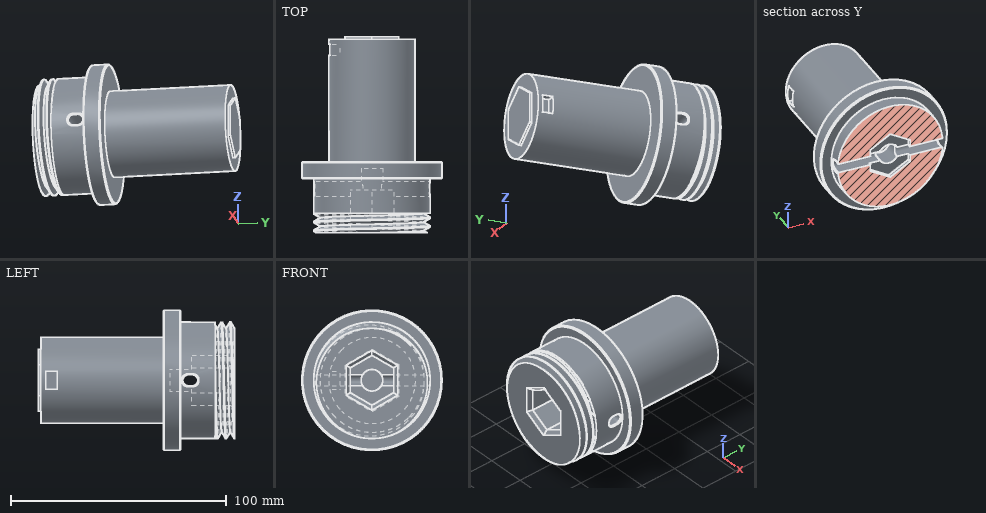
import cadquery as cq
import math


flange_dia = 65.0
flange_front = 25.0
flange_thickness = 8.0
flange_chamfer = 0.5
shoulder_dia = 54.0
shaft_dia = 40.04
shaft_end = 89.7
overall_length = 90.85

rear_hex_flats = 25.0

thread_length = 9.0
thread_pitch = 4.0
thread_crest_dia = shoulder_dia
thread_foot_dia = 48.2
thread_root_dia = 48.1
thread_crest_width = 0.5
thread_flank_angle = 30.0
thread_embed = 0.5
thread_crest_at_plus_x = 3.0
thread_lead_in_turns = 2
thread_turns = 5

socket_flats = 20.0
socket_depth = 20.0
socket_chamfer = 2.0

bore_dia = 10.0
bore_end = 30.0

slot_width = 5.0
slot_length = 7.0
slot_centre = 20.5
slot_chamfer = 0.5

pocket_front = 82.2
pocket_length = 5.2
pocket_height = 8.4
pocket_floor_radius = 15.0


def disc(diameter, start, end):
    """Cylinder on the Y axis from Y = start to Y = end."""
    plane = cq.Workplane("XZ", origin=(0, start, 0))
    return plane.circle(diameter / 2).extrude(start - end)


def hexagon(flats, y):
    """Hexagon outline at the given Y, with two corners on the Z axis."""
    corner_radius = flats / math.sqrt(3)
    corners = []
    for i in range(6):
        angle = math.pi / 2 + i * math.pi / 3
        corners.append((corner_radius * math.cos(angle), corner_radius * math.sin(angle)))
    return cq.Workplane("XZ", origin=(0, y, 0)).polyline(corners).close()


def hex_prism(flats, start, end):
    """Hexagonal prism on the Y axis from Y = start to Y = end."""
    return hexagon(flats, start).extrude(start - end)


def make_body():
    """Flange, shoulder, shaft and rear hexagon, without the thread."""
    flange_back = flange_front + flange_thickness
    flange = disc(flange_dia, flange_front, flange_back).edges().chamfer(flange_chamfer)
    shaft = disc(shaft_dia, flange_back, shaft_end)
    rear_hex = hex_prism(rear_hex_flats, shaft_end, overall_length)
    return flange.union(make_shoulder()).union(shaft).union(rear_hex)


def make_thread():
    """Thread core with a helical ridge, trimmed to the thread length."""
    foot_radius = thread_foot_dia / 2
    crest_radius = thread_crest_dia / 2
    base_radius = foot_radius - thread_embed
    half_crest = thread_crest_width / 2
    flank_run = (crest_radius - foot_radius) * math.tan(math.radians(thread_flank_angle))
    half_foot = half_crest + flank_run
    start = thread_crest_at_plus_x - thread_lead_in_turns * thread_pitch

    helix = cq.Wire.makeHelix(thread_pitch, thread_turns * thread_pitch, foot_radius)
    ridge = (
        cq.Workplane("XZ")
        .polyline([
            (base_radius, -half_foot),
            (foot_radius, -half_foot),
            (crest_radius, -half_crest),
            (crest_radius, half_crest),
            (foot_radius, half_foot),
            (base_radius, half_foot),
        ])
        .close()
        .sweep(cq.Workplane(obj=helix), isFrenet=True)
        .rotate((0, 0, 0), (1, 0, 0), -90)
        .translate((0, start, 0))
    )
    trimmed_ridge = ridge.intersect(disc(flange_dia, 0, thread_length))
    return disc(thread_root_dia, 0, thread_length).union(trimmed_ridge)


def make_socket():
    """Hexagonal socket with a mouth bevelled at 45 degrees."""
    front_wire = hexagon(socket_flats + 2 * socket_chamfer, 0).val()
    inner_wire = hexagon(socket_flats, socket_chamfer).val()
    mouth = cq.Workplane(obj=cq.Solid.makeLoft([front_wire, inner_wire], True))
    return hex_prism(socket_flats, 0, socket_depth).union(mouth)


def make_slot():
    """Slot along X, passing right through the shoulder."""
    plane = cq.Workplane("YZ", origin=(-shoulder_dia / 2, slot_centre, 0))
    return plane.slot2D(slot_length, slot_width).extrude(shoulder_dia)


def make_shoulder():
    """Shoulder cut by the slot, with both rims of the slot chamfered."""
    shoulder = disc(shoulder_dia, thread_length, flange_front).cut(make_slot())
    reach = slot_length / 2 + slot_chamfer
    rim_box = cq.selectors.BoxSelector(
        (-shoulder_dia, slot_centre - reach, -slot_width),
        (shoulder_dia, slot_centre + reach, slot_width),
    )
    return shoulder.edges(rim_box).edges("not |X").chamfer(slot_chamfer)


def make_pocket():
    """Block that cuts the flat-floored pocket in the shaft."""
    depth = shaft_dia / 2 - pocket_floor_radius
    return (
        cq.Workplane("XY")
        .box(depth, pocket_length, pocket_height, centered=(False, False, True))
        .translate((-shaft_dia / 2, pocket_front, 0))
    )


result = make_body().union(make_thread())
result = result.cut(make_socket())
result = result.cut(disc(bore_dia, socket_depth, bore_end))
result = result.cut(make_pocket())